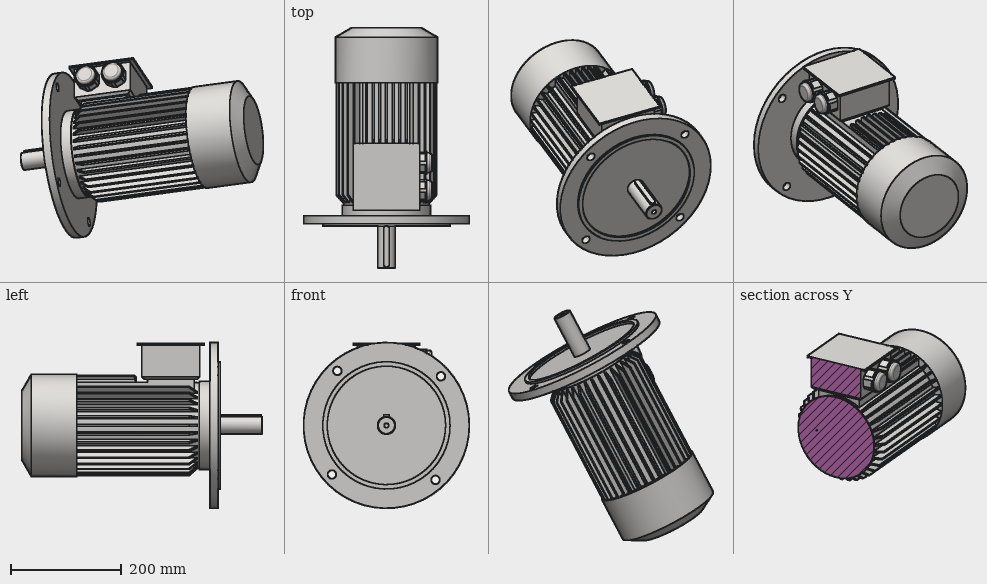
import cadquery as cq
import math


FLANGE_DIAMETER = 300
FLANGE_THICKNESS = 15
SPIGOT_DIAMETER = 230
SPIGOT_HEIGHT = 4
RECESS_DIAMETER = 214
BOLT_CIRCLE_DIAMETER = 265
BOLT_HOLE_DIAMETER = 15
BOLT_COUNT = 4
FIRST_BOLT_ANGLE = 42

SHAFT_DIAMETER = 32
SHAFT_LENGTH = 80
SHAFT_CHAMFER = 1
CENTRE_HOLE_DIAMETER = 8.38
CENTRE_HOLE_DEPTH = 20
DRILL_POINT_ANGLE = 118
KEY_WIDTH = 10
KEY_HEIGHT = 8
KEY_PROJECTION = 3
KEY_TOP = SHAFT_DIAMETER / 2 + KEY_PROJECTION
KEY_START = 3
KEY_LENGTH = 75

COLLAR_DIAMETER = 160
COLLAR_END = 34
BODY_DIAMETER = 155
COWL_DIAMETER = 185
COWL_START = 255
COWL_BEVEL_START = 337.5
COWL_END_DIAMETER = 125
MOTOR_END = 355

FIN_THICKNESS = 3.5
FIN_TIP_RADIUS = 91
FIN_OVERLAP = 2
FIN_ROOT_RADIUS = BODY_DIAMETER / 2 - FIN_OVERLAP
FIN_START = 38
FIN_BEVEL_END = 52.5
FIN_START_RADIUS = 78
RADIAL_FIN_STEP = 10
RADIAL_FIN_FIRST = 40
RADIAL_FIN_LAST = 360 - RADIAL_FIN_FIRST
TOP_FIN_SPACING = 12
TOP_FINS_PER_SIDE = 3
TOP_FIN_START = 148
TOP_FIN_BEVEL = 4

PAD_WIDTH = 85
PAD_TOP = 78
BOX_CENTRE_Y = 85.5
BOX_WIDTH = 105
BOX_BOTTOM = 83
BOX_BEVEL = 5
LID_WIDTH = 120.5
LID_BOTTOM = 144.5
LID_TOP = 148

GLAND_SPACING = 50
GLAND_Z = 117.5
NUT_DIAMETER = 41
NUT_ACROSS_FLATS = 38.2
NUT_FLATS_END = 70
NUT_END = 73
CAP_DIAMETER = 36.5
CAP_END = 82
CAP_ROUNDING = 5


def cylinder_along_y(diameter, start, end):
    """Cylinder on the motor axis between two Y positions."""
    plane = cq.Plane(origin=(0, start, 0), xDir=(1, 0, 0), normal=(0, 1, 0))
    return cq.Workplane(plane).circle(diameter / 2).extrude(end - start)


def block(width, start, end, bottom, top):
    """Box centred on X = 0, given by its Y and Z limits."""
    size = (width, end - start, top - bottom)
    return cq.Workplane("XY").box(*size, centered=(True, False, False)).translate((0, start, bottom))


def make_flange():
    flange = cylinder_along_y(FLANGE_DIAMETER, 0, FLANGE_THICKNESS)
    flange = flange.union(cylinder_along_y(SPIGOT_DIAMETER, -SPIGOT_HEIGHT, 0))
    flange = flange.cut(cylinder_along_y(RECESS_DIAMETER, -SPIGOT_HEIGHT, 0))
    hole = cylinder_along_y(BOLT_HOLE_DIAMETER, 0, FLANGE_THICKNESS)
    for i in range(BOLT_COUNT):
        angle = math.radians(FIRST_BOLT_ANGLE + i * 360 / BOLT_COUNT)
        x = BOLT_CIRCLE_DIAMETER / 2 * math.cos(angle)
        z = BOLT_CIRCLE_DIAMETER / 2 * math.sin(angle)
        flange = flange.cut(hole.translate((x, 0, z)))
    return flange


def make_centre_hole():
    """Blind drilled hole with a conical bottom in the shaft end."""
    radius = CENTRE_HOLE_DIAMETER / 2
    straight_end = CENTRE_HOLE_DEPTH - SHAFT_LENGTH
    tip = straight_end + radius / math.tan(math.radians(DRILL_POINT_ANGLE / 2))
    profile = [(0, -SHAFT_LENGTH), (radius, -SHAFT_LENGTH), (radius, straight_end), (0, tip)]
    return cq.Workplane("XY").polyline(profile).close().revolve(360, (0, 0, 0), (0, 1, 0))


def make_shaft():
    shaft = cylinder_along_y(SHAFT_DIAMETER, -SHAFT_LENGTH, 0)
    shaft = shaft.faces("<Y").edges().chamfer(SHAFT_CHAMFER)
    key_floor = KEY_TOP - KEY_HEIGHT
    key = (
        cq.Workplane("XY", origin=(0, -KEY_START - KEY_LENGTH / 2, key_floor))
        .slot2D(KEY_LENGTH, KEY_WIDTH, 90)
        .extrude(KEY_HEIGHT)
    )
    return shaft.union(key).cut(make_centre_hole())


def make_housing():
    """Front collar, round body and bevelled fan cowl as one turned shape."""
    profile = [
        (0, 0),
        (COLLAR_DIAMETER / 2, 0),
        (COLLAR_DIAMETER / 2, COLLAR_END),
        (BODY_DIAMETER / 2, COLLAR_END),
        (BODY_DIAMETER / 2, COWL_START),
        (COWL_DIAMETER / 2, COWL_START),
        (COWL_DIAMETER / 2, COWL_BEVEL_START),
        (COWL_END_DIAMETER / 2, MOTOR_END),
        (0, MOTOR_END),
    ]
    return cq.Workplane("XY").polyline(profile).close().revolve(360, (0, 0, 0), (0, 1, 0))


def make_radial_fin(angle):
    """Fin with a bevelled front end, turned about Y from straight up."""
    outline = [
        (FIN_START, FIN_ROOT_RADIUS),
        (FIN_START, FIN_START_RADIUS),
        (FIN_BEVEL_END, FIN_TIP_RADIUS),
        (COWL_START, FIN_TIP_RADIUS),
        (COWL_START, FIN_ROOT_RADIUS),
    ]
    fin = cq.Workplane("YZ").polyline(outline).close().extrude(FIN_THICKNESS / 2, both=True)
    return fin.rotate((0, 0, 0), (0, 1, 0), angle)


def make_top_fin(x):
    """Upright fin on the pad, its height following the circle of the fin tips."""
    top = math.sqrt(FIN_TIP_RADIUS**2 - x**2)
    outline = [
        (TOP_FIN_START, FIN_ROOT_RADIUS),
        (TOP_FIN_START, top - TOP_FIN_BEVEL),
        (TOP_FIN_START + TOP_FIN_BEVEL, top),
        (COWL_START, top),
        (COWL_START, FIN_ROOT_RADIUS),
    ]
    fin = cq.Workplane("YZ").polyline(outline).close().extrude(FIN_THICKNESS / 2, both=True)
    return fin.translate((x, 0, 0))


def make_terminal_box():
    foot_start = BOX_CENTRE_Y - PAD_WIDTH / 2
    foot_end = BOX_CENTRE_Y + PAD_WIDTH / 2
    pad = block(PAD_WIDTH, foot_start, COWL_START, 0, PAD_TOP)
    foot = block(PAD_WIDTH, foot_start, foot_end, 0, BOX_BOTTOM)
    box_start = BOX_CENTRE_Y - BOX_WIDTH / 2
    box = block(BOX_WIDTH, box_start, box_start + BOX_WIDTH, BOX_BOTTOM, LID_BOTTOM)
    box = box.faces("<Z").edges().chamfer(BOX_BEVEL)
    lid_start = BOX_CENTRE_Y - LID_WIDTH / 2
    lid = block(LID_WIDTH, lid_start, lid_start + LID_WIDTH, LID_BOTTOM, LID_TOP)
    return pad.union(foot).union(box).union(lid)


def make_gland(y):
    """Cable gland: round nut with six flats, and a rounded cap."""
    wall = BOX_WIDTH / 2
    plane = cq.Plane(origin=(wall, y, GLAND_Z), xDir=(0, 1, 0), normal=(1, 0, 0))
    nut = cq.Workplane(plane).circle(NUT_DIAMETER / 2).extrude(NUT_FLATS_END - wall)
    across_corners = NUT_ACROSS_FLATS / math.cos(math.pi / 6)
    hexagon = (
        cq.Workplane(plane)
        .transformed(rotate=(0, 0, 30))
        .polygon(6, across_corners)
        .extrude(NUT_FLATS_END - wall)
    )
    nut = nut.intersect(hexagon)
    rim = (
        cq.Workplane(plane)
        .workplane(offset=NUT_FLATS_END - wall)
        .circle(NUT_DIAMETER / 2)
        .extrude(NUT_END - NUT_FLATS_END)
    )
    nut = nut.union(rim)
    cap = cq.Workplane(plane).circle(CAP_DIAMETER / 2).extrude(CAP_END - wall)
    cap = cap.faces(">X").edges().fillet(CAP_ROUNDING)
    return nut.union(cap)


result = make_housing().union(make_flange()).union(make_shaft())
for fin_angle in range(RADIAL_FIN_FIRST, RADIAL_FIN_LAST + 1, RADIAL_FIN_STEP):
    result = result.union(make_radial_fin(fin_angle))
result = result.union(make_terminal_box())
for i in range(-TOP_FINS_PER_SIDE, TOP_FINS_PER_SIDE + 1):
    result = result.union(make_top_fin(i * TOP_FIN_SPACING))
for side in (-1, 1):
    result = result.union(make_gland(BOX_CENTRE_Y + side * GLAND_SPACING / 2))